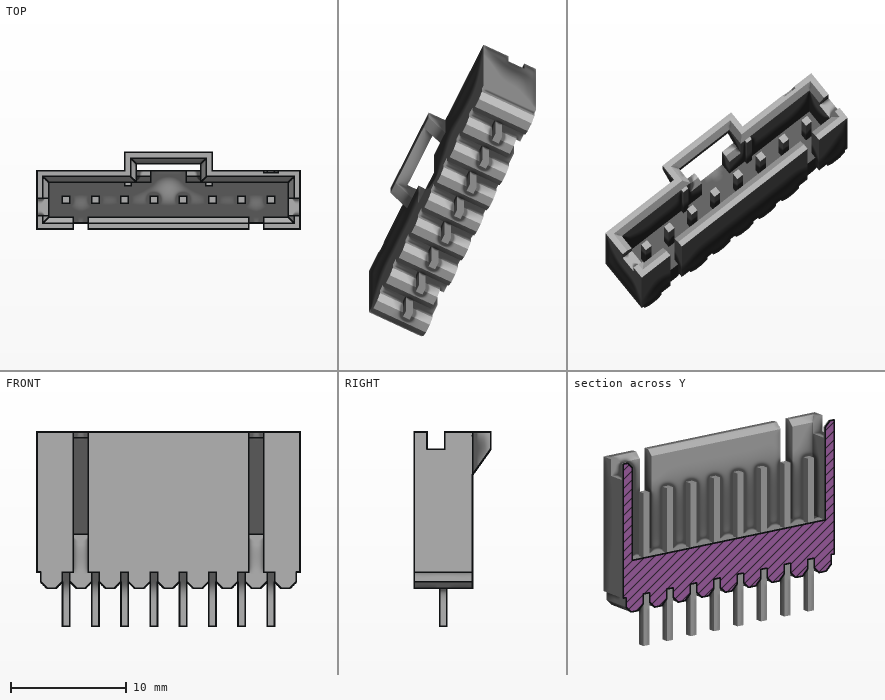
import cadquery as cq


pin_count = 8
pitch = 2.54
pin_width = 0.64
pin_tip_z = -4.70
pin_top_z = 9.14
row_length = (pin_count - 1) * pitch
pin_positions = [i * pitch - row_length / 2 for i in range(pin_count)]

length = 22.86
depth = 5.08
rim_z = 12.19
floor_z = 3.30
wall = 1.02
bevel = wall / 2
front_y = -depth / 2
back_y = depth / 2

bump_length = 7.62
bump_reach = 1.60
bump_drop = 1.49
bump_slope_height = 2.25
bump_back_y = back_y + bump_reach
bump_base_z = rim_z - bump_drop - bump_slope_height

back_slot_width = 3.05
front_slot_width = 1.27
front_slot_x = 3 * pitch
end_notch_width = 1.52
end_notch_depth = 1.50
end_notch_front_y = front_y + 1.14

rib_width = 0.56
rib_height = 0.28

foot_height = 1.40
foot_width = pitch - pin_width
foot_bevel = 0.56
feet_count = pin_count + 1

mark_width = 1.27
mark_depth = 0.20
mark_drop = 0.32


def box(x_min, x_max, y_min, y_max, z_min, z_max):
    size = (x_max - x_min, y_max - y_min, z_max - z_min)
    return cq.Workplane("XY").box(*size, centered=False).translate((x_min, y_min, z_min))


def centered_box(x, width, y_min, y_max, z_min, z_max):
    return box(x - width / 2, x + width / 2, y_min, y_max, z_min, z_max)


def extrude_along_x(points, width):
    """Extrude a (y, z) outline over a width centred on X = 0."""
    return cq.Workplane("YZ").polyline(points).close().extrude(width / 2, both=True)


def extrude_along_y(points, y_min, y_max):
    """Extrude an (x, z) outline from y_min to y_max."""
    return cq.Workplane("XZ", origin=(0, y_max, 0)).polyline(points).close().extrude(y_max - y_min)


def make_shell():
    body = centered_box(0, length, front_y, back_y, 0, rim_z)
    bump_side = [
        (back_y - wall, rim_z),
        (bump_back_y, rim_z),
        (bump_back_y, rim_z - bump_drop),
        (back_y, bump_base_z),
        (back_y - wall, bump_base_z),
    ]
    return body.union(extrude_along_x(bump_side, bump_length))


def make_foot(x):
    half = foot_width / 2
    outline = [
        (x - half, 0),
        (x - half, foot_bevel - foot_height),
        (x - half + foot_bevel, -foot_height),
        (x + half - foot_bevel, -foot_height),
        (x + half, foot_bevel - foot_height),
        (x + half, 0),
    ]
    return extrude_along_y(outline, front_y, back_y)


def add_feet(part):
    for i in range(feet_count):
        part = part.union(make_foot((i - (feet_count - 1) / 2) * pitch))
    return part


def cut_cavity(part):
    """Hollow the housing and the bump, and open a window under the back of the bump."""
    half = length / 2 - wall
    bump_half = bump_length / 2 - wall
    part = part.cut(centered_box(0, 2 * half, front_y + wall, back_y - wall, floor_z, rim_z))
    part = part.cut(
        centered_box(0, 2 * bump_half, back_y - wall, bump_back_y - wall, bump_base_z, rim_z)
    )
    window_top_z = rim_z - bump_drop
    return part.cut(
        centered_box(0, 2 * bump_half, back_y - wall, bump_back_y, bump_base_z, window_top_z)
    )


def tapered_cutter(width, y_min, y_max):
    """Rectangle at rim level that shrinks at 45 degrees down to the bevel depth."""
    outline = cq.Workplane("XY", origin=(0, (y_min + y_max) / 2, rim_z)).rect(width, y_max - y_min)
    return outline.extrude(-bevel, taper=45)


def cut_rim_bevel(part):
    """Bevel the inner edge of the rim at 45 degrees, bump included."""
    margin = wall - bevel
    part = part.cut(tapered_cutter(length - 2 * margin, front_y + margin, back_y - margin))
    return part.cut(tapered_cutter(bump_length - 2 * margin, 0, bump_back_y - margin))


def cut_back_slot(part):
    """Slot the back wall below the bump and bevel the ledges on both sides of it."""
    part = part.cut(centered_box(0, back_slot_width, back_y - wall, back_y, floor_z, bump_base_z))
    inner_y = back_y - wall
    ledge_bevel = [
        (inner_y, bump_base_z),
        (inner_y + bevel, bump_base_z),
        (inner_y, bump_base_z - bevel),
    ]
    return part.cut(extrude_along_x(ledge_bevel, bump_length - 2 * wall))


def cut_front_slots(part):
    """Slot the front wall down to the floor and set back the face and the foot below."""
    for x in (-front_slot_x, front_slot_x):
        part = part.cut(centered_box(x, front_slot_width, front_y, front_y + wall, floor_z, rim_z))
        part = part.cut(centered_box(x, front_slot_width, front_y, front_y + bevel, 0, floor_z))
        part = part.cut(centered_box(x, foot_width, front_y, front_y + bevel, -foot_height, 0))
    return part


def cut_end_notches(part):
    notch_back_y = end_notch_front_y + end_notch_width
    return part.cut(
        centered_box(0, length, end_notch_front_y, notch_back_y, rim_z - end_notch_depth, rim_z)
    )


def add_ribs(part):
    rib_x = (bump_length - rib_width) / 2
    inner_y = back_y - wall
    for x in (-rib_x, rib_x):
        part = part.union(
            centered_box(x, rib_width, inner_y - rib_height, inner_y, floor_z, rim_z - bevel)
        )
    return part


def cut_pin_one_mark(part):
    x = pin_positions[-1]
    half = mark_width / 2
    outline = [
        (x - half, rim_z),
        (x - half + mark_drop, rim_z - mark_drop),
        (x + half - mark_drop, rim_z - mark_drop),
        (x + half, rim_z),
    ]
    return part.cut(extrude_along_y(outline, back_y - mark_depth, back_y))


def add_pins(part):
    for x in pin_positions:
        part = part.union(
            centered_box(x, pin_width, -pin_width / 2, pin_width / 2, pin_tip_z, pin_top_z)
        )
    return part


result = make_shell()
result = add_feet(result)
result = cut_cavity(result)
result = cut_rim_bevel(result)
result = cut_back_slot(result)
result = cut_front_slots(result)
result = cut_end_notches(result)
result = add_ribs(result)
result = cut_pin_one_mark(result)
result = add_pins(result)